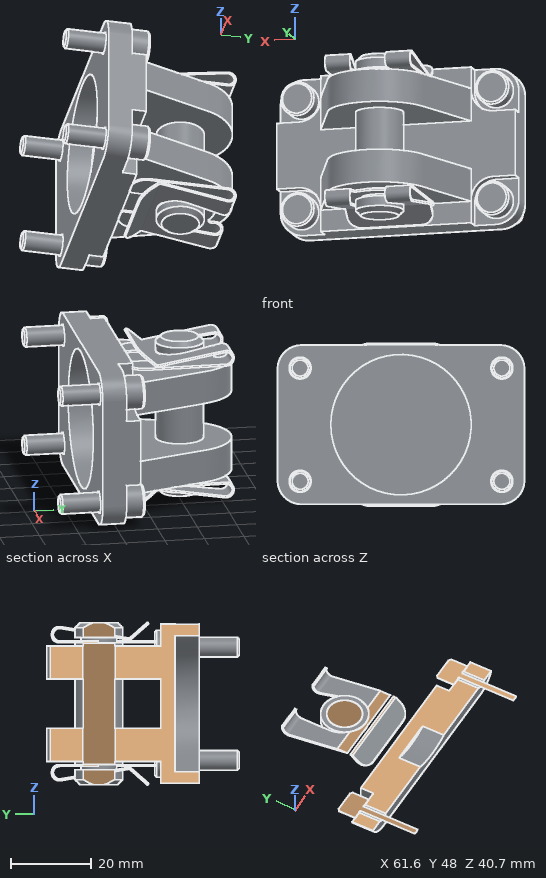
import cadquery as cq
import math


plate_width = 61.6
plate_height = 39.75
corner_radius = 6.05
flange_thickness = 6.05
plate_thickness = 9.6
relief_x = 19.4
relief_z = 8.4
spigot_diameter = 35.0
spigot_depth = flange_thickness
lug_inner_z = 6.1
lug_outer_z = 14.4
lug_radius = 13.0
lug_foot_half_width = relief_x

screw_x = 25.15
screw_z = 14.1
shank_diameter = 5.0
screw_hole_diameter = 5.5
screw_projection = 10.0
head_diameter = 8.5
head_height = 5.05
screw_chamfer = 0.5
relief_radius = screw_x - relief_x

pin_y = 25.0
pin_diameter = 12.0
pin_length = 40.4
pin_chamfer = 1.3
groove_diameter = 9.0
groove_inner_z = 15.15
groove_width = 1.3

sheet = 0.5
clip_width = 22.0
fork_end_y = 10.85
fork_corner_radius = 4.0
fork_tip_radius = 1.0
bend_y = 34.8
bend_radius = 1.8
arm_angle = math.radians(9.5)
kink_y = 17.3
kink_inner_radius = 0.5
tab_angle = math.radians(41.4)
tab_end_y = 12.7
tab_corner_radius = 3.4
opening_taper = math.radians(7.5)
fork_back_radius = 8.8
opening_corner_radius = 1.0
clip_mid_z = groove_inner_z + sheet / 2
clip_top_z = groove_inner_z + sheet

cut_margin = 6.15


def xy_at(z):
    """Sketch plane parallel to XY at height z."""
    return cq.Workplane("XY", origin=(0, 0, z))


def xz_at(y):
    """Sketch plane parallel to XZ at depth y, extruding toward +Y."""
    return cq.Workplane(cq.Plane(origin=(0, y, 0), xDir=(-1, 0, 0), normal=(0, 1, 0)))


def screw_positions():
    return [(sx * screw_x, sz * screw_z) for sx in (-1, 1) for sz in (-1, 1)]



def make_mounting_plate():
    plate = xz_at(0).rect(plate_width, plate_height).extrude(plate_thickness)
    plate = plate.edges("|Y").fillet(corner_radius)
    relief_width = plate_width / 2 - relief_x + cut_margin
    relief_height = plate_height / 2 - relief_z + cut_margin
    for sx in (-1, 1):
        for sz in (-1, 1):
            relief = (
                xz_at(flange_thickness)
                .center(sx * (relief_x + relief_width / 2), sz * (relief_z + relief_height / 2))
                .rect(relief_width, relief_height)
                .extrude(plate_thickness)
                .edges("|Y")
                .fillet(relief_radius)
            )
            plate = plate.cut(relief)
    spigot_recess = xz_at(0).circle(spigot_diameter / 2).extrude(spigot_depth)
    return plate.cut(spigot_recess)


def make_lug(base_z):
    """Tapered lug whose straight flanks run tangent into its round end."""
    reach = pin_y - plate_thickness
    foot_distance = math.hypot(lug_foot_half_width, reach)
    foot_direction = math.atan2(-reach, lug_foot_half_width)
    tangent_direction = foot_direction + math.acos(lug_radius / foot_distance)
    tangent_x = lug_radius * math.cos(tangent_direction)
    tangent_y = pin_y + lug_radius * math.sin(tangent_direction)
    return (
        xy_at(base_z)
        .moveTo(-lug_foot_half_width, plate_thickness)
        .lineTo(lug_foot_half_width, plate_thickness)
        .lineTo(tangent_x, tangent_y)
        .threePointArc((0, pin_y + lug_radius), (-tangent_x, tangent_y))
        .close()
        .extrude(lug_outer_z - lug_inner_z)
    )


def make_bracket():
    body = make_mounting_plate()
    for base_z in (lug_inner_z, -lug_outer_z):
        body = body.union(make_lug(base_z))
    pin_hole = xy_at(-lug_outer_z).center(0, pin_y).circle(pin_diameter / 2).extrude(2 * lug_outer_z)
    screw_holes = (
        xz_at(0).pushPoints(screw_positions()).circle(screw_hole_diameter / 2).extrude(flange_thickness)
    )
    return body.cut(pin_hole).cut(screw_holes)



def make_screw(x, z):
    shank = (
        xz_at(-screw_projection)
        .circle(shank_diameter / 2)
        .extrude(screw_projection + flange_thickness)
        .faces("<Y")
        .chamfer(screw_chamfer)
    )
    head = (
        xz_at(flange_thickness)
        .circle(head_diameter / 2)
        .extrude(head_height)
        .faces(">Y")
        .chamfer(screw_chamfer)
    )
    return shank.union(head).translate((x, 0, z))



def make_pin():
    pin = (
        xy_at(-pin_length / 2)
        .center(0, pin_y)
        .circle(pin_diameter / 2)
        .extrude(pin_length)
        .faces("<Z or >Z")
        .chamfer(pin_chamfer)
    )
    for base_z in (groove_inner_z, -groove_inner_z - groove_width):
        groove = (
            xy_at(base_z)
            .center(0, pin_y)
            .circle(pin_diameter / 2 + cut_margin)
            .circle(groove_diameter / 2)
            .extrude(groove_width)
        )
        pin = pin.cut(groove)
    return pin



def clip_side_points(offset):
    """(Y, Z) corners along one face of the bent strip, offset outward from mid-sheet."""
    arm_normal = (-math.sin(arm_angle), math.cos(arm_angle))
    tab_normal = (math.sin(tab_angle), math.cos(tab_angle))
    bend_z = clip_mid_z + bend_radius
    radius = bend_radius + offset

    arm_start_y = bend_y + bend_radius * arm_normal[0]
    arm_start_z = bend_z + bend_radius * arm_normal[1]
    kink_z = arm_start_z - (arm_start_y - kink_y) * math.tan(arm_angle)
    tab_end_z = kink_z + (kink_y - tab_end_y) * math.tan(tab_angle)
    mitre = offset / (1 + arm_normal[0] * tab_normal[0] + arm_normal[1] * tab_normal[1])

    return {
        "fork_end": (fork_end_y, clip_mid_z - offset),
        "bend_start": (bend_y, bend_z - radius),
        "bend_middle": (bend_y + radius, bend_z),
        "bend_end": (bend_y + radius * arm_normal[0], bend_z + radius * arm_normal[1]),
        "kink": (
            kink_y + mitre * (arm_normal[0] + tab_normal[0]),
            kink_z + mitre * (arm_normal[1] + tab_normal[1]),
        ),
        "tab_end": (tab_end_y + offset * tab_normal[0], tab_end_z + offset * tab_normal[1]),
    }


def make_bent_strip():
    outer = clip_side_points(sheet / 2)
    inner = clip_side_points(-sheet / 2)
    strip = (
        cq.Workplane("YZ", origin=(-clip_width / 2, 0, 0))
        .moveTo(*outer["fork_end"])
        .lineTo(*outer["bend_start"])
        .threePointArc(outer["bend_middle"], outer["bend_end"])
        .lineTo(*outer["kink"])
        .lineTo(*outer["tab_end"])
        .lineTo(*inner["tab_end"])
        .lineTo(*inner["kink"])
        .lineTo(*inner["bend_end"])
        .threePointArc(inner["bend_middle"], inner["bend_start"])
        .lineTo(*inner["fork_end"])
        .close()
        .extrude(clip_width)
    )
    for side, radius in ((inner, kink_inner_radius + sheet), (outer, kink_inner_radius)):
        kink_edge = strip.edges(cq.selectors.NearestToPointSelector((0, *side["kink"])))
        strip = kink_edge.fillet(radius)
    fork_corners = strip.edges("|Z").edges("<Y")
    strip = fork_corners.fillet(fork_corner_radius)
    tab_direction = cq.Vector(0, math.sin(tab_angle), math.cos(tab_angle))
    tab_corners = strip.edges(cq.selectors.ParallelDirSelector(tab_direction))
    return tab_corners.fillet(tab_corner_radius)


def make_tapered_opening(base_z):
    """Opening that narrows from the sides of the pin toward the bend."""
    pin_radius = pin_diameter / 2
    wide_x = pin_radius * math.cos(opening_taper)
    wide_y = pin_y + pin_radius * math.sin(opening_taper)
    end_y = bend_y + bend_radius + cut_margin
    narrow_x = wide_x - (end_y - wide_y) * math.tan(opening_taper)
    return (
        xy_at(base_z)
        .moveTo(-wide_x, wide_y)
        .lineTo(wide_x, wide_y)
        .lineTo(narrow_x, end_y)
        .lineTo(-narrow_x, end_y)
        .close()
        .extrude(pin_length / 2)
    )


def make_clip():
    clip = make_bent_strip()

    head_hole = xy_at(clip_top_z).center(0, pin_y).circle(pin_diameter / 2).extrude(pin_length / 2)
    clip = clip.cut(head_hole).cut(make_tapered_opening(clip_top_z))

    fork_back = xy_at(0).center(0, pin_y).circle(fork_back_radius).extrude(pin_length)
    back_opening = make_tapered_opening(groove_inner_z - sheet).cut(fork_back)
    back_opening = back_opening.edges("|Z").edges("<Y").fillet(opening_corner_radius)
    clip = clip.cut(back_opening)

    slot_length = pin_y - fork_end_y
    slot = (
        xy_at(groove_inner_z)
        .center(0, pin_y)
        .circle(groove_diameter / 2)
        .extrude(sheet)
        .union(
            xy_at(groove_inner_z)
            .center(0, pin_y - slot_length / 2)
            .rect(groove_diameter, slot_length)
            .extrude(sheet)
        )
    )
    clip = clip.cut(slot)
    tip_box = cq.selectors.BoxSelector(
        (-groove_diameter, fork_end_y - sheet, groove_inner_z - sheet),
        (groove_diameter, fork_end_y + sheet, clip_top_z + sheet),
    )
    return clip.edges("|Z").edges(tip_box).edges("<Y").fillet(fork_tip_radius)



bracket = make_bracket()
screws = [make_screw(x, z) for x, z in screw_positions()]
pin = make_pin()
upper_clip = make_clip()
clips = [upper_clip, upper_clip.mirror("XY")]

result = cq.Compound.makeCompound([
    bracket.val(),
    *[screw.val() for screw in screws],
    pin.val(),
    *[clip.val() for clip in clips],
])